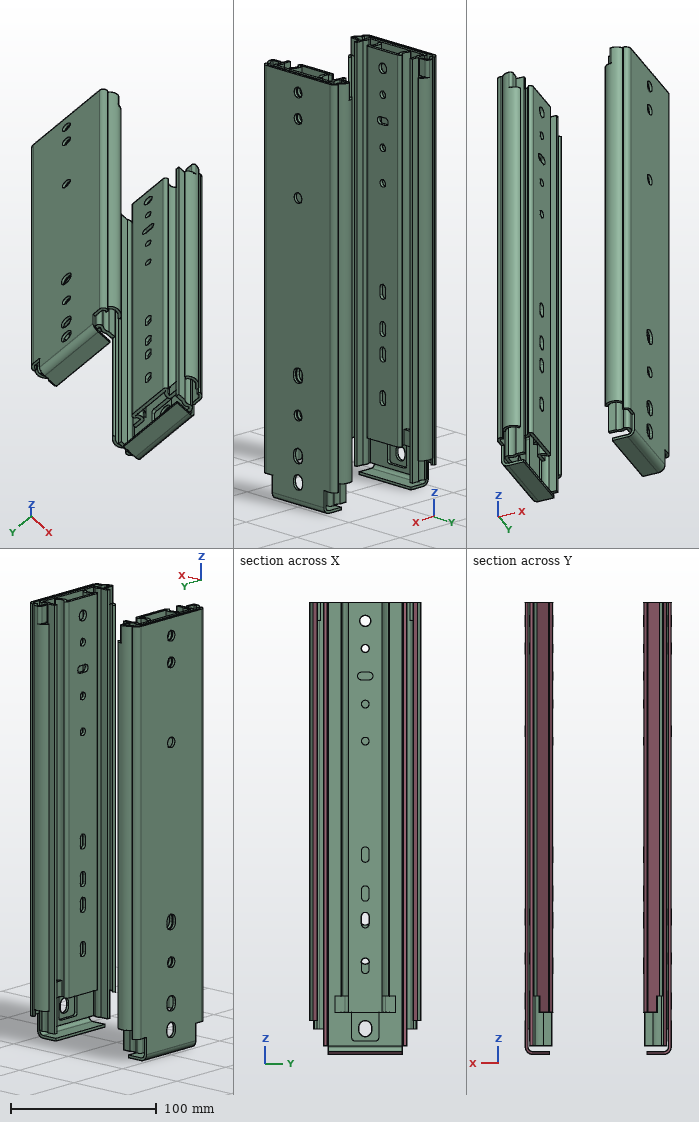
import cadquery as cq
import math

PAIR_WIDTH = 100.0
TOP_Z = 310
OUTER_SHEET = 2.0
SLIDING_SHEET = 2.5
FLANGE_TIP_DEPTH = 18.3

OUTER_FLAT_Y = 31.3
OUTER_CORNER_RADIUS = 4.0
OUTER_VALLEY_Y = 34.7
OUTER_CROWN_Y = 38.0
OUTER_RACE_DEPTH = 11.5
OUTER_RACE_RADIUS = 7.8
OUTER_RACE_Y = OUTER_CROWN_Y - OUTER_RACE_RADIUS
OUTER_FLANGE_END_Z = 23.2
OUTER_CORNER_END_Z = 17.5
LIP_HALF_WIDTH = 25.5
LIP_DEPTH = 16.7
LIP_BEND_RADIUS = 3.0
OUTER_TAB_LENGTH = 12.5
OUTER_TAB_TIP_Y = 30.7

MIDDLE_BACK_DEPTH = 2.95
MIDDLE_HALF_WIDTH = 28.5
MIDDLE_CORNER_RADIUS = 2.8
MIDDLE_END_Z = 6.0
GROOVE_START_DEPTH = 6.8
GROOVE_END_DEPTH = 12.5
GROOVE_SAG = 1.0
WINDOW_WIDTH = 18.5
WINDOW_BOTTOM_Z = 9.3
WINDOW_TOP_Z = 43.5
WINDOW_CORNER_RADIUS = 2.2

INNER_FACE_DEPTH = 19.0
INNER_HALF_WIDTH = 16.7
INNER_CORNER_RADIUS = 2.5
INNER_RACE_DEPTH = 12.0
INNER_RACE_Y = 11.5
INNER_RACE_RADIUS = 7.8
INNER_RACE_TIP_DEPTH = 6.0
INNER_RACE_ROOT_DEPTH = 16.0
INNER_END_Z = 28.8
INNER_TAB_LENGTH = 11.2
INNER_TAB_TIP_Y = 20.8

ACCESS_DIAMETER = 7.5
SCREW_DIAMETER = 5.3
SCREW_SLOT_LENGTH = 10.5
LARGE_SLOT_WIDTH = 8.7
LARGE_SLOT_LENGTH = 11.0
TOP_HOLE_Z = 297.3
SECOND_HOLE_Z = 278.5
OUTER_MIDWAY_HOLE_Z = 221.5
LOWER_SLOT_Z = 94.2
LOWER_HOLE_Z = 65.7
OUTER_END_SLOT_ZS = (17.7, 36.5)
INNER_CROSS_SLOT_Z = 259.5
INNER_SCREW_HOLE_ZS = (SECOND_HOLE_Z, 240.2, 214.8)
INNER_SCREW_SLOT_ZS = (137.0, 110.5, 92.0, 60.8)

COS_45 = math.cos(math.pi / 4)


def box(x_range, y_range, z_range):
    """Box spanning three (low, high) ranges."""
    lows, highs = zip(x_range, y_range, z_range)
    size = [high - low for low, high in zip(lows, highs)]
    return cq.Workplane("XY").box(*size, centered=False).translate(lows)


def mirrored_in_y(half):
    return half.union(half.mirror("XZ")).clean()


def half_chord(radius, height):
    """Half the chord of a circle at a height from its centre."""
    return math.sqrt(radius**2 - height**2)


def web_holes(zs, length, width, upright=True):
    """Cutters through a web along x; equal length and width give round holes."""
    points = [(0, z) for z in zs]
    sketch = cq.Workplane("YZ").pushPoints(points)
    if length == width:
        return sketch.circle(width / 2).extrude(INNER_FACE_DEPTH)
    return sketch.slot2D(length, width, 90 if upright else 0).extrude(INNER_FACE_DEPTH)


def bent_tab(root_depth, bend, root_y, tip_y, bottom_z, length):
    """Ball stop bent out of a race at the ball axis; bend is its sheet, signed by the x side."""
    rise = math.copysign(bend, tip_y - root_y)
    bend_x = root_depth + bend
    return (
        cq.Workplane("XY", origin=(0, 0, bottom_z))
        .moveTo(root_depth, root_y)
        .threePointArc(
            (root_depth + bend * COS_45, root_y + rise * (1 - COS_45)),
            (bend_x, root_y + rise),
        )
        .lineTo(bend_x, tip_y)
        .lineTo(root_depth, tip_y)
        .close()
        .extrude(length)
    )


def race_start_depth(radius, y):
    """Depth at which a circle about the outer race axis begins, at a given y."""
    return OUTER_RACE_DEPTH - half_chord(radius, y - OUTER_RACE_Y)


def outer_section(bottom_z):
    """Half of the outer rail's C section: web, rounded corner, shoulder and ball race."""
    shoulder_y = OUTER_FLAT_Y + OUTER_CORNER_RADIUS
    inner_corner = OUTER_CORNER_RADIUS - OUTER_SHEET
    inner_race = OUTER_RACE_RADIUS - OUTER_SHEET
    race_start = race_start_depth(OUTER_RACE_RADIUS, OUTER_VALLEY_Y)
    inner_start = race_start_depth(inner_race, OUTER_VALLEY_Y - OUTER_SHEET)
    tip_run = FLANGE_TIP_DEPTH - OUTER_RACE_DEPTH
    tip_rise = half_chord(OUTER_RACE_RADIUS, tip_run)
    shrink = inner_race / OUTER_RACE_RADIUS
    corner_x = OUTER_CORNER_RADIUS
    return (
        cq.Workplane("XY", origin=(0, 0, bottom_z))
        .lineTo(0, OUTER_FLAT_Y)
        .threePointArc(
            (corner_x * (1 - COS_45), OUTER_FLAT_Y + corner_x * COS_45), (corner_x, shoulder_y)
        )
        .lineTo(race_start, OUTER_VALLEY_Y)
        .threePointArc((OUTER_RACE_DEPTH, OUTER_CROWN_Y), (FLANGE_TIP_DEPTH, OUTER_RACE_Y + tip_rise))
        .lineTo(OUTER_RACE_DEPTH + tip_run * shrink, OUTER_RACE_Y + tip_rise * shrink)
        .threePointArc(
            (OUTER_RACE_DEPTH, OUTER_CROWN_Y - OUTER_SHEET),
            (inner_start, OUTER_VALLEY_Y - OUTER_SHEET),
        )
        .lineTo(corner_x, shoulder_y - OUTER_SHEET)
        .threePointArc(
            (corner_x - inner_corner * COS_45, OUTER_FLAT_Y + inner_corner * COS_45),
            (OUTER_SHEET, OUTER_FLAT_Y),
        )
        .lineTo(OUTER_SHEET, 0)
        .close()
        .extrude(TOP_Z - bottom_z)
    )


def end_lip():
    """Narrowed foot of the web, bent inward into a horizontal lip."""
    outer_bend = LIP_BEND_RADIUS + OUTER_SHEET
    return (
        cq.Workplane("XZ", origin=(0, LIP_HALF_WIDTH, 0))
        .moveTo(0, OUTER_CORNER_END_Z)
        .lineTo(0, outer_bend)
        .radiusArc((outer_bend, 0), -outer_bend)
        .lineTo(LIP_DEPTH, 0)
        .lineTo(LIP_DEPTH, OUTER_SHEET)
        .lineTo(outer_bend, OUTER_SHEET)
        .radiusArc((OUTER_SHEET, outer_bend), LIP_BEND_RADIUS)
        .lineTo(OUTER_SHEET, OUTER_CORNER_END_Z)
        .close()
        .extrude(2 * LIP_HALF_WIDTH)
    )


def outer_rail():
    half = outer_section(OUTER_CORNER_END_Z)
    race_start = race_start_depth(OUTER_RACE_RADIUS, OUTER_VALLEY_Y)
    half = half.cut(
        box((race_start, INNER_FACE_DEPTH), (0, OUTER_CROWN_Y), (0, OUTER_FLANGE_END_Z))
    )
    tab_z = TOP_Z - OUTER_TAB_LENGTH
    half = half.cut(box((OUTER_RACE_DEPTH, INNER_FACE_DEPTH), (OUTER_RACE_Y, OUTER_CROWN_Y), (tab_z, TOP_Z)))
    tab = bent_tab(
        OUTER_RACE_DEPTH, OUTER_SHEET, OUTER_CROWN_Y, OUTER_TAB_TIP_Y, tab_z, OUTER_TAB_LENGTH
    )
    half = half.union(tab)
    rail = mirrored_in_y(half).union(end_lip()).clean()
    round_zs = (TOP_HOLE_Z, SECOND_HOLE_Z, OUTER_MIDWAY_HOLE_Z, LOWER_HOLE_Z)
    slot_zs = (LOWER_SLOT_Z, *OUTER_END_SLOT_ZS)
    rail = rail.cut(web_holes(round_zs, ACCESS_DIAMETER, ACCESS_DIAMETER))
    return rail.cut(web_holes(slot_zs, LARGE_SLOT_LENGTH, LARGE_SLOT_WIDTH))


def middle_section():
    """Half of the middle rail's channel section, with a shallow ball groove in its flange."""
    back = MIDDLE_BACK_DEPTH
    edge = MIDDLE_HALF_WIDTH
    inside = edge - SLIDING_SHEET
    groove_middle = (GROOVE_START_DEPTH + GROOVE_END_DEPTH) / 2
    return (
        cq.Workplane("XY", origin=(0, 0, MIDDLE_END_Z))
        .moveTo(back, 0)
        .lineTo(back, edge - MIDDLE_CORNER_RADIUS)
        .radiusArc((back + MIDDLE_CORNER_RADIUS, edge), MIDDLE_CORNER_RADIUS)
        .lineTo(GROOVE_START_DEPTH, edge)
        .threePointArc((groove_middle, edge - GROOVE_SAG), (GROOVE_END_DEPTH, edge))
        .lineTo(FLANGE_TIP_DEPTH, edge)
        .lineTo(FLANGE_TIP_DEPTH, inside)
        .lineTo(GROOVE_END_DEPTH, inside)
        .threePointArc((groove_middle, inside - GROOVE_SAG), (GROOVE_START_DEPTH, inside))
        .lineTo(back + SLIDING_SHEET, inside)
        .lineTo(back + SLIDING_SHEET, 0)
        .close()
        .extrude(TOP_Z - MIDDLE_END_Z)
    )


def middle_rail():
    rail = mirrored_in_y(middle_section())
    half_window = WINDOW_WIDTH / 2
    window = box((0, INNER_FACE_DEPTH), (-half_window, half_window), (WINDOW_BOTTOM_Z, WINDOW_TOP_Z))
    rail = rail.cut(window.edges("|X").fillet(WINDOW_CORNER_RADIUS))
    round_zs = (TOP_HOLE_Z, SECOND_HOLE_Z, LOWER_HOLE_Z)
    rail = rail.cut(web_holes(round_zs, ACCESS_DIAMETER, ACCESS_DIAMETER))
    return rail.cut(web_holes((LOWER_SLOT_Z,), LARGE_SLOT_LENGTH, LARGE_SLOT_WIDTH))


def inner_section():
    """Half of the inner rail's section: web, rounded corner and a race curling to the back."""
    race_y = INNER_RACE_Y + INNER_RACE_RADIUS
    ball_radius = INNER_RACE_RADIUS - SLIDING_SHEET
    tip_run = INNER_RACE_DEPTH - INNER_RACE_TIP_DEPTH
    tip_drop = half_chord(INNER_RACE_RADIUS, tip_run)
    root_run = INNER_RACE_ROOT_DEPTH - INNER_RACE_DEPTH
    root_drop = half_chord(INNER_RACE_RADIUS, root_run)
    shrink = ball_radius / INNER_RACE_RADIUS
    corner_y = INNER_HALF_WIDTH - INNER_CORNER_RADIUS
    return (
        cq.Workplane("XY", origin=(0, 0, INNER_END_Z))
        .moveTo(INNER_FACE_DEPTH, 0)
        .lineTo(INNER_FACE_DEPTH, corner_y)
        .radiusArc((INNER_FACE_DEPTH - INNER_CORNER_RADIUS, INNER_HALF_WIDTH), -INNER_CORNER_RADIUS)
        .lineTo(INNER_RACE_DEPTH + root_run * shrink, race_y - root_drop * shrink)
        .threePointArc(
            (INNER_RACE_DEPTH, INNER_RACE_Y + SLIDING_SHEET),
            (INNER_RACE_DEPTH - tip_run * shrink, race_y - tip_drop * shrink),
        )
        .lineTo(INNER_RACE_TIP_DEPTH, race_y - tip_drop)
        .threePointArc(
            (INNER_RACE_DEPTH, INNER_RACE_Y), (INNER_RACE_ROOT_DEPTH, race_y - root_drop)
        )
        .lineTo(INNER_FACE_DEPTH - SLIDING_SHEET, corner_y)
        .lineTo(INNER_FACE_DEPTH - SLIDING_SHEET, 0)
        .close()
        .extrude(TOP_Z - INNER_END_Z)
    )


def inner_rail():
    tab_z_range = (INNER_END_Z, INNER_END_Z + INNER_TAB_LENGTH)
    half = inner_section().cut(box((0, INNER_RACE_DEPTH), (0, INNER_HALF_WIDTH), tab_z_range))
    tab = bent_tab(
        INNER_RACE_DEPTH, -SLIDING_SHEET, INNER_RACE_Y, INNER_TAB_TIP_Y, INNER_END_Z, INNER_TAB_LENGTH
    )
    half = half.union(tab)
    rail = mirrored_in_y(half)
    rail = rail.cut(web_holes((TOP_HOLE_Z,), ACCESS_DIAMETER, ACCESS_DIAMETER))
    rail = rail.cut(web_holes(INNER_SCREW_HOLE_ZS, SCREW_DIAMETER, SCREW_DIAMETER))
    rail = rail.cut(web_holes(INNER_SCREW_SLOT_ZS, SCREW_SLOT_LENGTH, SCREW_DIAMETER))
    return rail.cut(web_holes((INNER_CROSS_SLOT_Z,), SCREW_SLOT_LENGTH, SCREW_DIAMETER, upright=False))


def mirrored_pair(rail):
    """The left-hand rail in place and its right-hand mirror image, as two solids."""
    left_rail = rail.translate((-PAIR_WIDTH / 2, 0, 0))
    right_rail = left_rail.mirror("YZ")
    return [left_rail.solids().val(), right_rail.solids().val()]


outer_rails = mirrored_pair(outer_rail())
middle_rails = mirrored_pair(middle_rail())
inner_rails = mirrored_pair(inner_rail())

result = cq.Compound.makeCompound([*outer_rails, *middle_rails, *inner_rails])